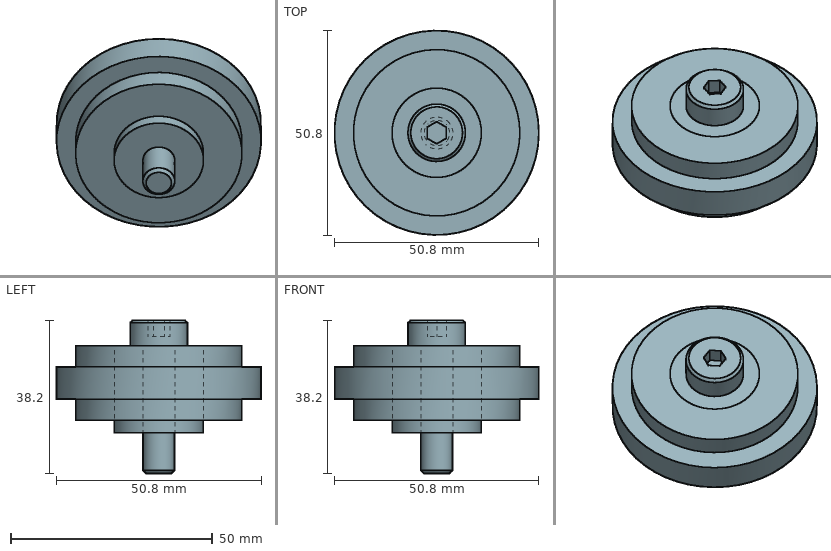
import cadquery as cq
import math

rim_diameter = 50.8
disc_diameter = 41.3
sleeve_diameter = 22.2
head_diameter = 14.3
shank_diameter = 7.9

head_height = 6.35
disc_thickness = 5.3
rim_thickness = 8.0
sleeve_projection = 3.1
shank_projection = 10.1

head_chamfer = 0.7
tip_chamfer = 0.8
socket_across_flats = 4.8
socket_depth = 4.05
socket_across_corners = socket_across_flats / math.cos(math.pi / 6)

rim_top = rim_thickness / 2
rim_bottom = -rim_top
stack_top = rim_top + disc_thickness
stack_bottom = rim_bottom - disc_thickness
sleeve_bottom = stack_bottom - sleeve_projection
shank_bottom = sleeve_bottom - shank_projection
head_top = stack_top + head_height


def cylinder(diameter, bottom, top):
    """Solid cylinder on the Z axis between two levels."""
    return cq.Workplane("XY").workplane(offset=bottom).circle(diameter / 2).extrude(top - bottom)


def ring(outer_diameter, bore_diameter, bottom, top):
    """Cylinder with a bore through its whole height."""
    return cylinder(outer_diameter, bottom, top).cut(cylinder(bore_diameter, bottom, top))


def make_screw():
    """Socket head screw with a chamfered head edge and a chamfered tip."""
    head = cylinder(head_diameter, stack_top, head_top).faces(">Z").chamfer(head_chamfer)
    shank = cylinder(shank_diameter, shank_bottom, stack_top).faces("<Z").chamfer(tip_chamfer)
    socket = (
        cq.Workplane("XY")
        .workplane(offset=head_top - socket_depth)
        .transformed(rotate=(0, 0, 90))
        .polygon(6, socket_across_corners)
        .extrude(socket_depth)
    )
    return head.union(shank).cut(socket)


rim = ring(rim_diameter, sleeve_diameter, rim_bottom, rim_top)
discs = [
    ring(disc_diameter, sleeve_diameter, bottom, bottom + disc_thickness)
    for bottom in (stack_bottom, rim_top)
]

sleeve = ring(sleeve_diameter, shank_diameter, sleeve_bottom, stack_top)
screw = make_screw()

result = cq.Compound.makeCompound([
    rim.val(),
    *[disc.val() for disc in discs],
    sleeve.val(),
    screw.val(),
])